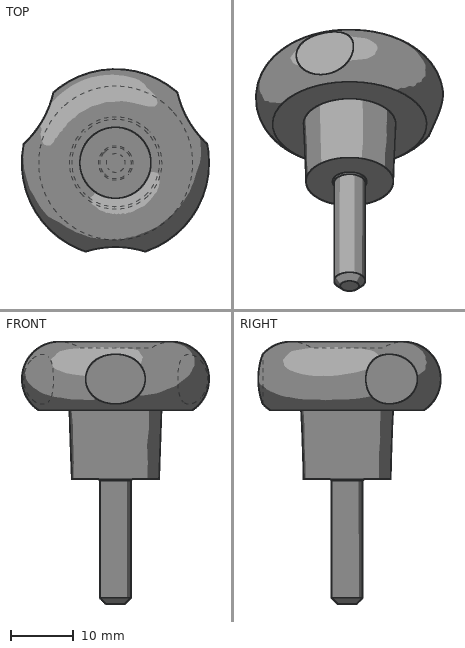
import cadquery as cq
import math

head_radius = 15.0
rim_radius = 6.0
dish_depth = 1.0
underside_offset = 5.0

hub_height = 11.0
hub_bottom_radius = 7.0
hub_draft = 2.0

stud_radius = 2.5
stud_length = 20.0
tip_chamfer = 1.0
root_flare = 0.25

scallop_count = 3
scallop_radius = 16.0
scallop_floor_radius = 13.5
first_scallop_angle = -90.0

rim_center_radius = head_radius - rim_radius
rim_center_z = hub_height + underside_offset
head_top_z = rim_center_z + rim_radius
dish_z = head_top_z - dish_depth
dish_radius = rim_center_radius - math.sqrt(rim_radius**2 - (dish_z - rim_center_z)**2)
underside_radius = rim_center_radius + math.sqrt(rim_radius**2 - underside_offset**2)
hub_top_radius = hub_bottom_radius + hub_height * math.tan(math.radians(hub_draft))
scallop_axis_radius = scallop_floor_radius + scallop_radius

FULL_TURN = 360


def revolve_about_z(profile):
    return profile.close().revolve(FULL_TURN, (0, 0, 0), (0, 1, 0))


def make_head():
    profile = (
        cq.Workplane("XZ")
        .moveTo(0, hub_height)
        .lineTo(underside_radius, hub_height)
        .threePointArc((rim_center_radius, head_top_z), (dish_radius, dish_z))
        .lineTo(0, dish_z)
    )
    return revolve_about_z(profile)


def make_hub_and_stud():
    profile = (
        cq.Workplane("XZ")
        .moveTo(0, -stud_length)
        .lineTo(stud_radius - tip_chamfer, -stud_length)
        .lineTo(stud_radius, -stud_length + tip_chamfer)
        .lineTo(stud_radius, -root_flare)
        .lineTo(stud_radius + root_flare, 0)
        .lineTo(hub_bottom_radius, 0)
        .lineTo(hub_top_radius, hub_height)
        .lineTo(0, hub_height)
    )
    return revolve_about_z(profile)


def make_scallop_cutters():
    return (
        cq.Workplane("XY")
        .workplane(offset=hub_height)
        .polarArray(scallop_axis_radius, first_scallop_angle, FULL_TURN, scallop_count)
        .circle(scallop_radius)
        .extrude(head_top_z - hub_height, combine=False)
    )


head = make_head().cut(make_scallop_cutters())
result = head.union(make_hub_and_stud())